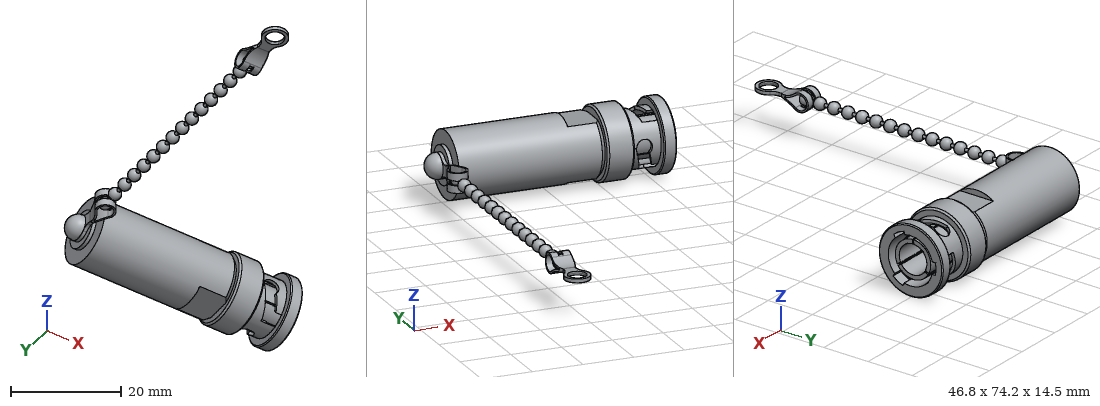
import cadquery as cq
import math

overall_length_y = 74.25
overall_radius = 14.5 / 2
chain_end_y = overall_radius - overall_length_y

housing_radius = 6.6
housing_length = 29.0
nose_chamfer_length = 0.8
nose_chamfer_depth = 0.7
flat_start = 22.6
flat_height = 5.4
boss_radius = 3.8
boss_height = 0.75

barrel_radius = 4.0
barrel_bore_radius = 3.1
barrel_end = 41.95
barrel_slit_width = 0.3
barrel_slit_angles = (90, 210, 330)

grip_length = 5.4
grip_end = housing_length + grip_length
grip_chamfer = 0.4
sleeve_end = 42.7
flange_length = 2.5
flange_chamfer = 0.2
tube_radius = 5.7
tube_bore_radius = 5.05
slot_angles = (60, 180, 300)
lock_hole_x = 36.9
lock_hole_radius = 1.55
ramp_start_x = 36.45
ramp_rise = 2.0
ramp_sweep = 72
ramp_width = 2.45
entry_angle = 59
entry_width = 2.5

rivet_head_radius = 2.5
rivet_shank_radius = 1.8
rivet_depth = 2.2

sheet_thickness = 0.4
plate_thickness = 2 * sheet_thickness
eye_distance = 8.5
eye_radius = 5.0 / 2
loop_radius = 1.9
loop_width = 3.85
bend_end = 4.6
gap_end = 3.7
taper_start = 1.6
taper_middle = (3.4, 1.7)
neck_half_width = 2.45 / 2
neck_fillet = 2.2
clip_slit_width = 0.9
clip_slit_end = 0.8

bead_count = 16
bead_radius = 2.45 / 2
link_radius = 0.4
chain_x = -boss_height - plate_thickness / 2
first_bead_y = -eye_distance
last_bead_y = chain_end_y + eye_radius + eye_distance
bead_pitch = (first_bead_y - last_bead_y) / (bead_count - 1)


def cross_section(x):
    """Workplane across the connector axis: local x is Y, local y is Z, normal is +X."""
    return cq.Workplane(cq.Plane(origin=(x, 0, 0), xDir=(0, 1, 0), normal=(1, 0, 0)))


def cylinder(start, end, radius):
    return cross_section(start).circle(radius).extrude(end - start)


def about_axis(shape, angle):
    return shape.rotate((0, 0, 0), (1, 0, 0), angle)


def make_housing():
    body = (
        cross_section(0)
        .circle(housing_radius)
        .extrude(housing_length)
        .faces(">X")
        .chamfer(nose_chamfer_length, nose_chamfer_depth)
    )
    flat_length = housing_length - flat_start
    for side in (1, -1):
        wrench_flat = cq.Workplane("XY").box(
            flat_length, 2 * housing_radius, housing_radius, centered=(False, True, False)
        )
        if side < 0:
            wrench_flat = wrench_flat.mirror("XY")
        body = body.cut(wrench_flat.translate((flat_start, 0, side * flat_height)))

    boss = cylinder(-boss_height, 0, boss_radius)
    barrel = cylinder(housing_length, barrel_end, barrel_radius)
    body = body.union(boss).union(barrel)
    body = body.cut(cylinder(grip_end, barrel_end, barrel_bore_radius))
    slit = cq.Workplane("XY").box(
        barrel_end - grip_end, barrel_radius, barrel_slit_width, centered=(False, False, True)
    ).translate((grip_end, 0, 0))
    for angle in barrel_slit_angles:
        body = body.cut(about_axis(slit, angle))
    return body.cut(cylinder(-boss_height, rivet_depth, rivet_shank_radius))


def bayonet_slot():
    """Cutter for one slot whose locking hole lies on +Y: hole, helical ramp and axial entry."""
    wall_middle = (tube_radius + tube_bore_radius) / 2
    cut_depth = 2 * (tube_radius - tube_bore_radius)
    hole = (
        cq.Workplane("XZ")
        .center(lock_hole_x, 0)
        .circle(lock_hole_radius)
        .extrude(-tube_radius)
        .cut(cylinder(0, sleeve_end, barrel_radius))
    )
    pitch = ramp_rise * 360 / ramp_sweep
    helix = cq.Workplane(cq.Wire.makeHelix(pitch, ramp_rise, wall_middle))
    ramp = (
        cq.Workplane("XZ", origin=(wall_middle, 0, 0))
        .rect(cut_depth, ramp_width)
        .sweep(helix, isFrenet=True)
    )
    ramp = cq.Workplane(ramp.val().moved(cq.Location(cross_section(ramp_start_x).plane)))
    entry_start = ramp_start_x + ramp_rise
    entry = cq.Workplane("XY").box(
        sleeve_end - entry_start, tube_radius, entry_width, centered=(False, False, True)
    ).translate((entry_start, 0, 0)).intersect(cylinder(0, sleeve_end, tube_radius))
    return hole.union(ramp).union(about_axis(entry, entry_angle))


def make_sleeve():
    grip = cylinder(housing_length, grip_end, overall_radius).edges().chamfer(grip_chamfer)
    flange = cylinder(sleeve_end - flange_length, sleeve_end, overall_radius).edges().chamfer(flange_chamfer)
    sleeve = cylinder(housing_length, sleeve_end, tube_radius).union(grip).union(flange)
    sleeve = sleeve.cut(cylinder(grip_end, sleeve_end, tube_bore_radius))
    sleeve = sleeve.cut(cylinder(housing_length, grip_end, barrel_radius))
    slot = bayonet_slot()
    for angle in slot_angles:
        sleeve = sleeve.cut(about_axis(slot, angle))
    return sleeve


def make_rivet():
    head_x = -boss_height - plate_thickness
    head = cq.Workplane("XY").sphere(rivet_head_radius).translate((head_x, 0, 0))
    head = head.intersect(cylinder(head_x - rivet_head_radius, head_x, rivet_head_radius))
    return head.union(cylinder(head_x, rivet_depth, rivet_shank_radius))


def make_chain():
    chain = cq.Workplane("XZ", origin=(chain_x, first_bead_y, 0)).circle(link_radius).extrude(
        first_bead_y - last_bead_y
    )
    for index in range(bead_count):
        bead = cq.Workplane("XY").sphere(bead_radius)
        chain = chain.union(bead.translate((chain_x, first_bead_y - index * bead_pitch, 0)))
    return chain


def loop_outline(offset, end):
    """Side outline of the bent sheet, offset from its mid line, up to the length `end`.

    A round loop about the bead runs into two reverse bends that level out at `bend_end`.
    """
    middle_radius = loop_radius - sheet_thickness / 2
    level = sheet_thickness / 2
    bend_radius = (bend_end**2 + level**2 - middle_radius**2) / (2 * (middle_radius - level))
    bend_height = level + bend_radius
    radius = middle_radius + offset
    reverse_radius = bend_radius - offset

    def bend_point(u):
        return (u, bend_height - math.sqrt(reverse_radius**2 - (bend_end - u) ** 2))

    reach = middle_radius + bend_radius
    join = (radius * bend_end / reach, radius * bend_height / reach)
    middle = bend_point((join[0] + end) / 2)
    last = bend_point(end)
    return (
        cq.Workplane("XZ")
        .moveTo(join[0], -join[1])
        .threePointArc((-radius, 0), join)
        .threePointArc(middle, last)
        .lineTo(last[0], -last[1])
        .threePointArc((middle[0], -middle[1]), (join[0], -join[1]))
        .close()
    )


def clip_plan():
    """Flat outline of the clip: wide loop end, tapered shoulders, neck and round eye."""
    half_width = loop_width / 2
    fillet_reach = eye_radius + neck_fillet
    fillet_w = neck_half_width + neck_fillet
    fillet_u = eye_distance - math.sqrt(fillet_reach**2 - fillet_w**2)
    share = eye_radius / fillet_reach
    eye_join = (eye_distance + share * (fillet_u - eye_distance), share * fillet_w)
    lean = math.atan2(eye_join[0] - fillet_u, fillet_w - eye_join[1]) / 2
    fillet_middle = (fillet_u + neck_fillet * math.sin(lean), fillet_w - neck_fillet * math.cos(lean))

    def other(point):
        return (point[0], -point[1])

    shoulder = (taper_start, half_width)
    neck = (bend_end, neck_half_width)
    fillet_start = (fillet_u, neck_half_width)
    return (
        cq.Workplane("XY")
        .moveTo(-loop_radius, -half_width)
        .lineTo(-loop_radius, half_width)
        .lineTo(*shoulder)
        .threePointArc(taper_middle, neck)
        .lineTo(*fillet_start)
        .threePointArc(fillet_middle, eye_join)
        .threePointArc((eye_distance + eye_radius, 0), other(eye_join))
        .threePointArc(other(fillet_middle), other(fillet_start))
        .lineTo(*other(neck))
        .threePointArc(other(taper_middle), other(shoulder))
        .close()
    )


def make_clip():
    """Clip with its bead centre at the origin, its eye along +X and its plate in the XY plane."""
    solid_loop = loop_outline(sheet_thickness / 2, bend_end).extrude(loop_width / 2, both=True)
    plate = cq.Workplane("XY").box(
        eye_distance + eye_radius - bend_end, 2 * eye_radius, plate_thickness, centered=(False, True, True)
    ).translate((bend_end, 0, 0))
    clip = solid_loop.union(plate)
    clip = clip.intersect(clip_plan().extrude(loop_radius, both=True))
    clip = clip.cut(loop_outline(-sheet_thickness / 2, gap_end).extrude(loop_width / 2, both=True))
    eye = cq.Workplane("XY").center(eye_distance, 0).circle(rivet_shank_radius)
    clip = clip.cut(eye.extrude(plate_thickness, both=True))
    slit = cq.Workplane("XY").box(
        loop_radius + clip_slit_end, clip_slit_width, 2 * loop_radius, centered=(False, True, True)
    )
    return clip.cut(slit.translate((-loop_radius, 0, 0)))


def place_clip(direction, roll, bead_y):
    """Turn the clip to point along +Y or -Y, roll it about the chain and move it to its bead."""
    clip = make_clip().rotate((0, 0, 0), (0, 0, 1), direction * 90)
    clip = clip.rotate((0, 0, 0), (0, 1, 0), roll)
    return clip.translate((chain_x, bead_y, 0))


housing = make_housing()
sleeve = make_sleeve()
rivet = make_rivet()
chain = make_chain()
clip_places = ((1, 90, first_bead_y), (-1, 0, last_bead_y))
clips = [place_clip(*place) for place in clip_places]

bodies = [housing, sleeve, rivet, chain, *clips]
result = cq.Compound.makeCompound([body.solids().val() for body in bodies])